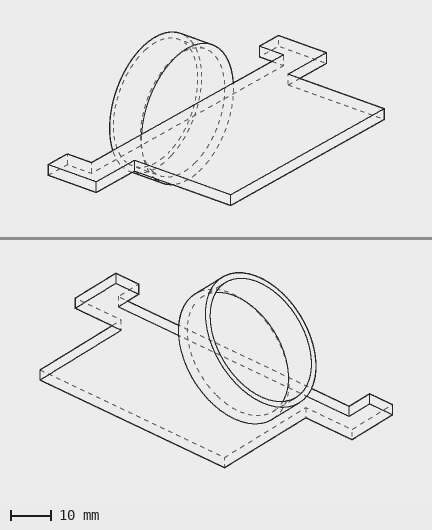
import cadquery as cq

overall_x = 47.5
overall_y = 90
plate_thickness = 3.0
tongue_width = 60.0
spine_depth = 7.5
prong_length = 7.6
prong_width = 7.5

cup_diameter = 36
cup_length = 10.0
cup_wall = 1.5
cup_floor = 1.5

tongue_end = overall_x - cup_length


def box_between(x_start, x_end, width, y_center=0):
    """Plate-thick block between two X positions."""
    return (
        cq.Workplane("XY")
        .box(x_end - x_start, width, plate_thickness)
        .translate(((x_start + x_end) / 2, y_center, 0))
    )


def make_plate():
    """Cross spine, rear tongue and a forward prong at each end."""
    plate = box_between(0, spine_depth, overall_y)
    plate = plate.union(box_between(0, tongue_end, tongue_width))
    prong_y = (overall_y - prong_width) / 2
    for side in (-1, 1):
        plate = plate.union(box_between(-prong_length, spine_depth, prong_width, side * prong_y))
    return plate


def make_cup():
    """Disc against the spine, hollowed from its open -X end."""
    body = cq.Workplane("YZ").workplane(offset=-cup_length).circle(cup_diameter / 2).extrude(cup_length)
    cavity = (
        cq.Workplane("YZ")
        .workplane(offset=-cup_length)
        .circle(cup_diameter / 2 - cup_wall)
        .extrude(cup_length - cup_floor)
    )
    return body.cut(cavity)


result = make_plate().union(make_cup())